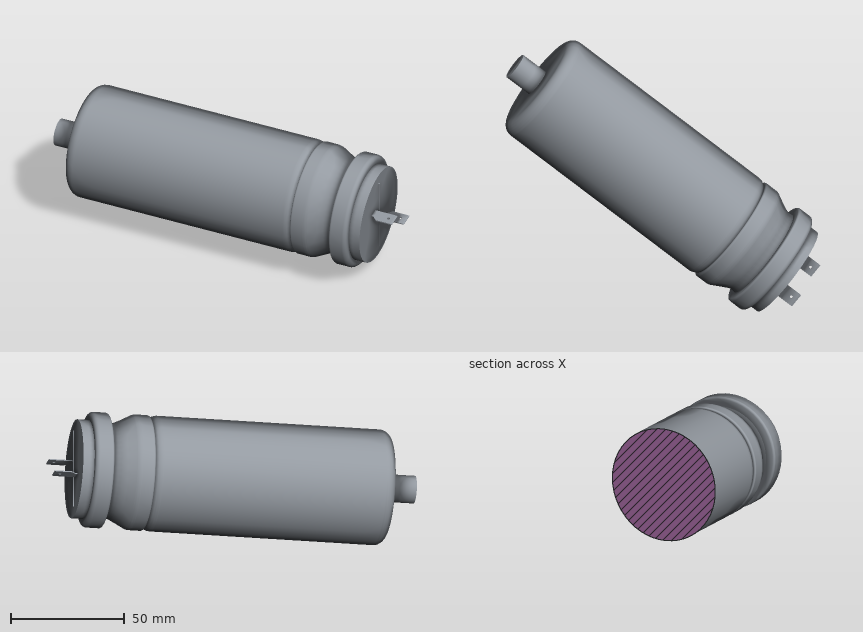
import cadquery as cq
import math

total_length = 163.0
can_radius = 25.51

stud_radius = 6.11
stud_length = 12.4

bend_radius = 4.9
groove_start = 116.9
groove_end = 120.5
shoulder_start = 126.3
waist_radius = 21.0
waist_angle = math.radians(27)
rim_start = 139.0
rim_end = 147.4
rim_round = 2.0
edge_round = 1.0

lid_radius = 21.8
lid_end = 152.4
rib_height = 0.5
rib_thickness = 0.7
rib_length = 35.0

tab_inner = 3.6
tab_width = 6.5
tab_neck_width = 4.4
tab_neck_length = 0.8
tab_taper_end = 2.8
tab_thickness = 0.5
tab_height = 4.9
tab_bevel_length = 0.8
tab_bevel_depth = 0.2
tab_hole_diameter = 1.3
tab_hole_from_tip = 3.0


def arc_point(center, radius, angle):
    """Point on an arc, with the angle measured from the outward radial direction toward +X."""
    return (center[0] + radius * math.sin(angle), center[1] + radius * math.cos(angle))


def make_can():
    """Revolve the stud, can, waist, rim and lid as one half-profile about the X axis."""
    base_center = (stud_length + bend_radius, can_radius - bend_radius)
    groove_center = (groove_start, can_radius - bend_radius)
    groove_angle = math.asin((groove_end - groove_start) / bend_radius)
    shoulder_center = (shoulder_start, can_radius - bend_radius)

    bends_drop = 2 * bend_radius * (1 - math.cos(waist_angle))
    cone_length = (can_radius - waist_radius - bends_drop) / math.sin(waist_angle)
    bends_run = 2 * bend_radius * math.sin(waist_angle)
    waist_x = shoulder_start + bends_run + cone_length * math.cos(waist_angle)
    waist_center = (waist_x, waist_radius + bend_radius)
    waist_exit_angle = math.pi - math.asin((rim_start - waist_x) / bend_radius)

    bead_edge_center = (groove_end + edge_round, can_radius - edge_round)
    rim_edge_center = (rim_start + edge_round, can_radius - edge_round)
    rim_center = (rim_end - rim_round, can_radius - rim_round)

    profile = (
        cq.Workplane("XY")
        .moveTo(0, 0)
        .lineTo(0, stud_radius)
        .lineTo(stud_length, stud_radius)
        .lineTo(stud_length, base_center[1])
        .threePointArc(arc_point(base_center, bend_radius, -math.pi / 4), (base_center[0], can_radius))
        .lineTo(groove_start, can_radius)
        .threePointArc(
            arc_point(groove_center, bend_radius, groove_angle / 2),
            arc_point(groove_center, bend_radius, groove_angle),
        )
        .lineTo(groove_end, bead_edge_center[1])
        .threePointArc(
            arc_point(bead_edge_center, edge_round, -math.pi / 4),
            (bead_edge_center[0], can_radius),
        )
        .lineTo(shoulder_start, can_radius)
        .threePointArc(
            arc_point(shoulder_center, bend_radius, waist_angle / 2),
            arc_point(shoulder_center, bend_radius, waist_angle),
        )
        .lineTo(*arc_point(waist_center, bend_radius, math.pi + waist_angle))
        .threePointArc(
            (waist_x, waist_radius),
            arc_point(waist_center, bend_radius, waist_exit_angle),
        )
        .lineTo(rim_start, rim_edge_center[1])
        .threePointArc(
            arc_point(rim_edge_center, edge_round, -math.pi / 4),
            (rim_edge_center[0], can_radius),
        )
        .lineTo(rim_center[0], can_radius)
        .threePointArc(arc_point(rim_center, rim_round, math.pi / 4), (rim_end, rim_center[1]))
        .lineTo(rim_end, lid_radius)
        .lineTo(lid_end, lid_radius)
        .lineTo(lid_end, 0)
        .close()
    )
    return profile.revolve(360, (0, 0, 0), (1, 0, 0))


def make_rib():
    """Low bar standing on the lid along Z."""
    return cq.Workplane("XY").box(
        rib_height, rib_thickness, rib_length, centered=(False, True, True)
    ).translate((lid_end, 0, 0))


def make_tab():
    """Blade terminal on the +Y side, centred on Z = 0."""
    tab_outer = tab_inner + tab_width
    neck_outer = tab_inner + tab_neck_width
    blade = (
        cq.Workplane("XY")
        .polyline([
            (lid_end, tab_inner),
            (total_length, tab_inner),
            (total_length, tab_outer),
            (lid_end + tab_taper_end, tab_outer),
            (lid_end + tab_neck_length, neck_outer),
            (lid_end, neck_outer),
        ])
        .close()
        .extrude(tab_thickness / 2, both=True)
    )
    tip_edges = blade.faces(">X").edges("|Y")
    blade = tip_edges.chamfer(tab_bevel_depth, tab_bevel_length)
    hole = (
        cq.Workplane("XY")
        .center(total_length - tab_hole_from_tip, tab_inner + tab_width / 2)
        .circle(tab_hole_diameter / 2)
        .extrude(tab_thickness, both=True)
    )
    return blade.cut(hole)


tab = make_tab()
lower_tab = tab.translate((0, 0, -tab_height))
upper_tab = tab.mirror("XZ").translate((0, 0, tab_height))

result = make_can().union(make_rib()).union(upper_tab).union(lower_tab)